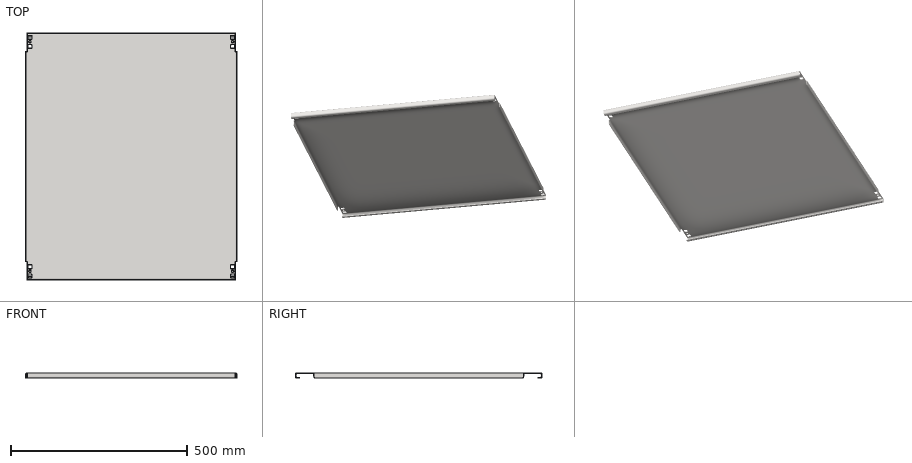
import cadquery as cq

width = 599.0
length = 700.0
height = 15.0

sheet = 2.0
fold_radius = 4.0

end_flange_width = width - 2 * fold_radius
lip_depth = 11.0

side_flange_length = 596.0
side_corner_radius = 6.0

hole_x = 287.5
outer_hole_y = 338.75
hole_pitch = 13.0
square_hole = 10.3
square_hole_radius = 1.0
round_hole = 6.0

top_z = height / 2


def end_sections():
    """Narrower end strips of the top sheet, each folded down and then back inward."""
    outer = (
        cq.Workplane("YZ")
        .rect(length, height)
        .extrude(end_flange_width / 2, both=True)
        .edges("|X")
        .fillet(fold_radius)
    )
    inner = (
        cq.Workplane("YZ")
        .rect(length - 2 * sheet, height - 2 * sheet)
        .extrude(end_flange_width / 2, both=True)
        .edges("|X")
        .fillet(fold_radius - sheet)
    )
    lip_opening = (
        cq.Workplane("XY")
        .box(end_flange_width, length - 2 * lip_depth, height - sheet)
        .translate((0, 0, -sheet / 2))
    )
    middle = cq.Workplane("XY").box(width, side_flange_length, height)
    return outer.cut(inner).cut(lip_opening).cut(middle)


def middle_channel():
    """Middle of the top sheet with both sides folded down."""
    outer = (
        cq.Workplane("XZ")
        .rect(width, height)
        .extrude(side_flange_length / 2, both=True)
        .edges("|Y and >Z")
        .fillet(fold_radius)
        .edges("|X and <Z")
        .fillet(side_corner_radius)
    )
    inner = (
        cq.Workplane("XZ")
        .center(0, -sheet)
        .rect(width - 2 * sheet, height)
        .extrude(side_flange_length / 2, both=True)
        .edges("|Y and >Z")
        .fillet(fold_radius - sheet)
    )
    return outer.cut(inner)


def corner_points(y_position):
    """Four mirrored points on the underside of the top sheet, one near each corner."""
    return (
        cq.Workplane("XY")
        .workplane(offset=top_z - sheet)
        .rect(2 * hole_x, 2 * y_position, forConstruction=True)
        .vertices()
    )


def square_holes(y_position):
    """Cutters for one rounded square hole at each corner."""
    return (
        corner_points(y_position)
        .rect(square_hole, square_hole)
        .extrude(sheet)
        .edges("|Z")
        .fillet(square_hole_radius)
    )


def round_holes(y_position):
    """Cutters for one round hole at each corner."""
    return corner_points(y_position).circle(round_hole / 2).extrude(sheet)


result = (
    end_sections()
    .union(middle_channel())
    .cut(square_holes(outer_hole_y))
    .cut(round_holes(outer_hole_y - hole_pitch))
    .cut(square_holes(outer_hole_y - 2 * hole_pitch))
)